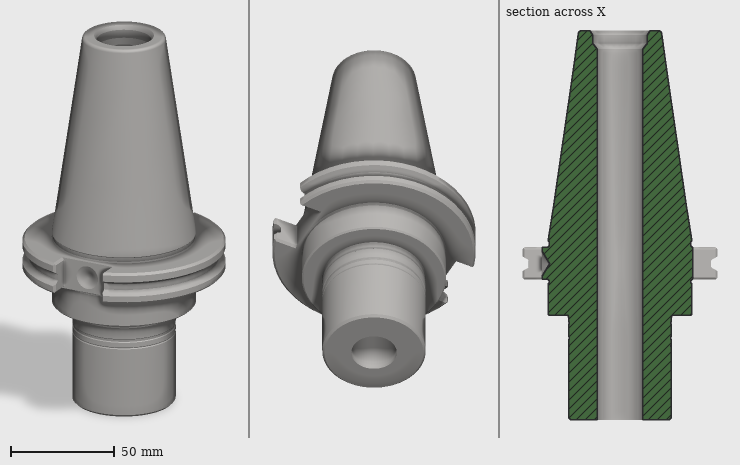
import cadquery as cq
import math

total_height = 188.2
gauge_height = 86.5
flange_bottom = 67.8
flange_thickness = 15.8
flange_top = flange_bottom + flange_thickness
collar_bottom = 50.5

gauge_radius = 69.8 / 2
taper_ratio = 7 / 24
taper_tip_radius = gauge_radius - (total_height - gauge_height) * taper_ratio / 2
tip_rounding = 1.7

flange_radius = 98.5 / 2
flange_chamfer = 1.1
groove_root_radius = 46.0
groove_root_fillet = 0.5
groove_root_width = 3.5
groove_middle = 75.5
groove_half_angle = 30
groove_wall_rise = (flange_radius - groove_root_radius) * math.tan(math.radians(groove_half_angle))
groove_root_bottom = groove_middle - groove_root_width / 2
groove_root_top = groove_middle + groove_root_width / 2

relief_radius = 34.5
relief_flare = 0.5
collar_neck_height = 1.5
collar_chamfer = 0.8

pilot_radius = 50.0 / 2
pilot_collar_radius = 50.5 / 2
pilot_flare_height = 0.8
pilot_chamfer = 1.1
pilot_groove_depth = 0.4
pilot_grooves = ((35.2, 36.1), (38.5, 40.5), (46.1, 47.5))

slot_width = 25.5
slot_chamfer = 1.1
slot_corner_fillet = 0.5
front_floor_distance = 37.6
back_floor_distance = 35.4

dimple_radius = 11.7 / 2
dimple_tip_angle = 118
dimple_depth = dimple_radius / math.tan(math.radians(dimple_tip_angle / 2))

bore_radius = 22.0 / 2
counterbore_radius = 26.3 / 2
mouth_radius = 29.0 / 2
mouth_depth = 2.0
counterbore_depth = 6.2
bore_start_depth = 8.8


def revolved(points):
    """Turn a closed outline of (radius, height) points around the Z axis."""
    return cq.Workplane("XZ").polyline(points).close().revolve(360, (0, 0, 0), (0, 1, 0))


def pilot_outline():
    points = [
        (0, 0),
        (pilot_radius - pilot_chamfer, 0),
        (pilot_radius, pilot_chamfer),
    ]
    groove_radius = pilot_radius - pilot_groove_depth
    for lower_edge, upper_edge in pilot_grooves:
        points += [
            (pilot_radius, lower_edge),
            (groove_radius, lower_edge + pilot_groove_depth),
            (groove_radius, upper_edge - pilot_groove_depth),
            (pilot_radius, upper_edge),
        ]
    points += [
        (pilot_radius, collar_bottom - pilot_flare_height),
        (pilot_collar_radius, collar_bottom),
    ]
    return points


def collar_outline():
    neck_bottom = flange_bottom - collar_neck_height
    return [
        (gauge_radius - collar_chamfer, collar_bottom),
        (gauge_radius, collar_bottom + collar_chamfer),
        (gauge_radius, neck_bottom - (gauge_radius - relief_radius)),
        (relief_radius, neck_bottom),
        (relief_radius, flange_bottom - relief_flare),
        (relief_radius + relief_flare, flange_bottom),
    ]


def flange_outline():
    return [
        (flange_radius - flange_chamfer, flange_bottom),
        (flange_radius, flange_bottom + flange_chamfer),
        (flange_radius, groove_root_bottom - groove_wall_rise),
        (groove_root_radius, groove_root_bottom),
        (groove_root_radius, groove_root_top),
        (flange_radius, groove_root_top + groove_wall_rise),
        (flange_radius, flange_top - flange_chamfer),
        (flange_radius - flange_chamfer, flange_top),
    ]


def taper_outline():
    return [
        (relief_radius + relief_flare, flange_top),
        (relief_radius, flange_top + relief_flare),
        (relief_radius, gauge_height - (gauge_radius - relief_radius)),
        (gauge_radius, gauge_height),
        (taper_tip_radius, total_height),
        (0, total_height),
    ]


def turned_body():
    body = revolved(pilot_outline() + collar_outline() + flange_outline() + taper_outline())
    body = body.faces(">Z").edges().fillet(tip_rounding)
    reach = groove_root_fillet
    groove_roots = cq.selectors.BoxSelector(
        (-reach, -reach, groove_root_bottom - reach),
        (reach, reach, groove_root_top + reach),
    )
    return body.edges(groove_roots).fillet(groove_root_fillet)


def bore():
    return revolved([
        (0, 0),
        (bore_radius, 0),
        (bore_radius, total_height - bore_start_depth),
        (counterbore_radius, total_height - counterbore_depth),
        (counterbore_radius, total_height - mouth_depth),
        (mouth_radius, total_height),
        (0, total_height),
    ])


def drive_slot(floor_distance):
    """Slot on the +Y side, widened by chamfers at the flange faces and at the rim."""
    half_width = slot_width / 2
    wide_half = half_width + slot_chamfer
    channel = (
        cq.Workplane("XZ", origin=(0, floor_distance, 0))
        .polyline([
            (-wide_half, flange_bottom),
            (wide_half, flange_bottom),
            (half_width, flange_bottom + slot_chamfer),
            (half_width, flange_top - slot_chamfer),
            (wide_half, flange_top),
            (-wide_half, flange_top),
            (-half_width, flange_top - slot_chamfer),
            (-half_width, flange_bottom + slot_chamfer),
        ])
        .close()
        .extrude(floor_distance - flange_radius)
        .faces("<Y")
        .edges("|Z")
        .fillet(slot_corner_fillet)
    )
    rim_distance = math.sqrt(flange_radius**2 - wide_half**2)
    rim_flare = (
        cq.Workplane("XY", origin=(0, 0, flange_bottom))
        .polyline([
            (-half_width, rim_distance - slot_chamfer),
            (half_width, rim_distance - slot_chamfer),
            (wide_half, rim_distance),
            (wide_half, flange_radius),
            (-wide_half, flange_radius),
            (-wide_half, rim_distance),
        ])
        .close()
        .extrude(flange_thickness)
    )
    return channel.union(rim_flare)


def dimple():
    cone = cq.Solid.makeCone(
        dimple_radius, 0, dimple_depth,
        pnt=cq.Vector(0, -front_floor_distance, groove_middle),
        dir=cq.Vector(0, 1, 0),
    )
    return cq.Workplane(cone)


front_slot = drive_slot(front_floor_distance).rotate((0, 0, 0), (0, 0, 1), 180)
back_slot = drive_slot(back_floor_distance)

result = turned_body().cut(bore()).cut(front_slot).cut(back_slot).cut(dimple())